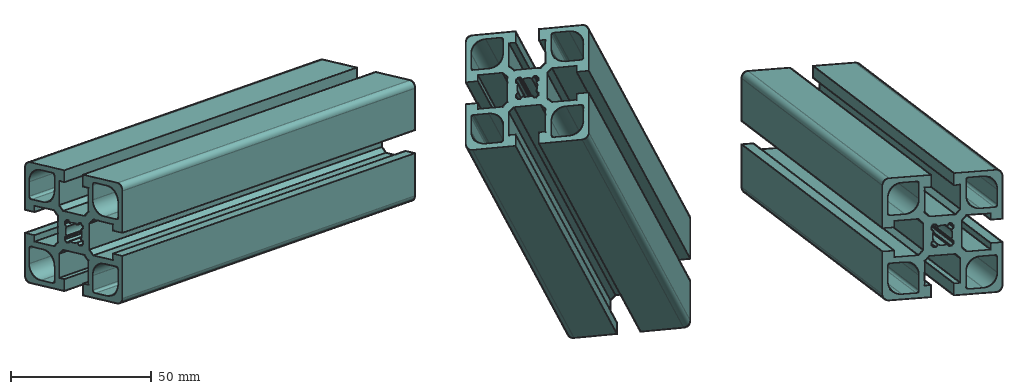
import cadquery as cq

length = 165.0
width = 45.0
corner_radius = 2.5

slot_opening = 8.5
slot_inner_width = 13.4
lip_thickness = 4.5
core_width = 14.5
floor_chamfer = 1.8

wall = 2.0
cavity_size = 11.7
cavity_large_radius = 5.3
cavity_small_radius = 1.0

bore_diameter = 7.5
groove_width = 2.3
groove_span = 10.5
groove_chamfer = 0.5

half_width = width / 2


def section_prism(sketch):
    """Extrude a closed XZ sketch over the whole length, centred on Y = 0."""
    return sketch.extrude(length / 2, both=True)


def quarter_turns(solid):
    """Four copies of a solid, turned about the Y axis in steps of 90 degrees."""
    return [solid.rotate((0, 0, 0), (0, 1, 0), 90 * turn) for turn in range(4)]


def make_blank():
    """Solid square bar with rounded long edges."""
    block = cq.Workplane("XY").box(width, length, width)
    return block.edges("|Y").fillet(corner_radius)


def make_slot():
    """Cutter for the T-slot on the +Z side."""
    floor = core_width / 2
    lip_underside = half_width - lip_thickness
    half_opening = slot_opening / 2
    half_inner = slot_inner_width / 2
    right_side = [
        (half_inner - floor_chamfer, floor),
        (half_inner, floor + floor_chamfer),
        (half_inner, lip_underside),
        (half_opening, lip_underside),
        (half_opening, half_width),
    ]
    left_side = [(-x, z) for x, z in reversed(right_side)]
    return section_prism(cq.Workplane("XZ").polyline(right_side + left_side).close())


def make_cavity():
    """Cutter for the hollow in the +X +Z corner."""
    center = half_width - wall - cavity_size / 2
    cavity = section_prism(cq.Workplane("XZ").center(center, center).rect(cavity_size, cavity_size))
    cavity = cavity.edges("(|Y) and (<(1,0,1) or >(1,0,1))").fillet(cavity_large_radius)
    return cavity.edges("(|Y) and (<(1,0,-1) or >(1,0,-1))").fillet(cavity_small_radius)


def make_bore():
    """Cutter for the central bore and its two crossed diagonal grooves."""
    bore = section_prism(cq.Workplane("XZ").circle(bore_diameter / 2))
    groove = section_prism(cq.Workplane("XZ").rect(groove_span, groove_width))
    groove = groove.edges("|Y").chamfer(groove_chamfer)
    for angle in (45, -45):
        bore = bore.union(groove.rotate((0, 0, 0), (0, 1, 0), angle))
    return bore


result = make_blank().cut(make_bore())
for cutter in quarter_turns(make_slot()) + quarter_turns(make_cavity()):
    result = result.cut(cutter)